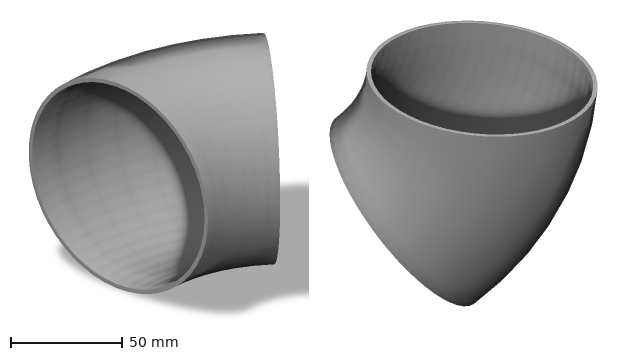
import cadquery as cq
import math

overall_length = 118.1
outer_diameter = 104.0
wall_thickness = 2.0
bend_angle = 45.0

outer_radius = outer_diameter / 2
inner_radius = outer_radius - wall_thickness

bend_cosine = math.cos(math.radians(bend_angle))
bend_radius = (overall_length - outer_radius * (1 + bend_cosine)) / (1 - bend_cosine)

pipe_section = cq.Workplane("XZ").circle(outer_radius).circle(inner_radius)

bend_axis_start = (bend_radius, 0)
bend_axis_end = (bend_radius, -1)
result = pipe_section.revolve(bend_angle, bend_axis_start, bend_axis_end)